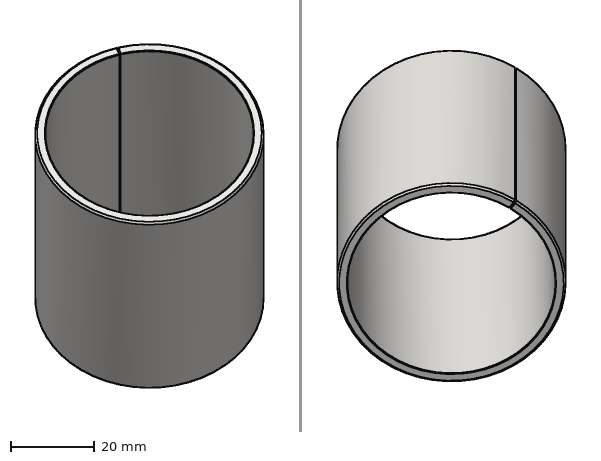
import cadquery as cq

length = 65.0
outer_diameter = 55.0
inner_diameter = 50.0
outer_chamfer_radial = 0.5
outer_chamfer_axial = 0.5
inner_chamfer = 0.2
slit_angle = 1.0

outer_radius = outer_diameter / 2
inner_radius = inner_diameter / 2
half_length = length / 2


def make_sleeve():
    """Revolve the wall section, with its four edges chamfered, about Z.

    The turn starts on the -X side and stops short of a full circle. The
    remaining radial slit parts the wall just on the +Y side of the XZ plane.
    """
    end_outer_radius = outer_radius - outer_chamfer_radial
    end_inner_radius = inner_radius + inner_chamfer
    outer_edge_z = half_length - outer_chamfer_axial
    inner_edge_z = half_length - inner_chamfer
    section = [
        (-inner_radius, -inner_edge_z),
        (-end_inner_radius, -half_length),
        (-end_outer_radius, -half_length),
        (-outer_radius, -outer_edge_z),
        (-outer_radius, outer_edge_z),
        (-end_outer_radius, half_length),
        (-end_inner_radius, half_length),
        (-inner_radius, inner_edge_z),
    ]
    profile = cq.Workplane("XZ").polyline(section).close()
    return profile.revolve(360 - slit_angle, (0, 0, 0), (0, 1, 0))


result = make_sleeve()